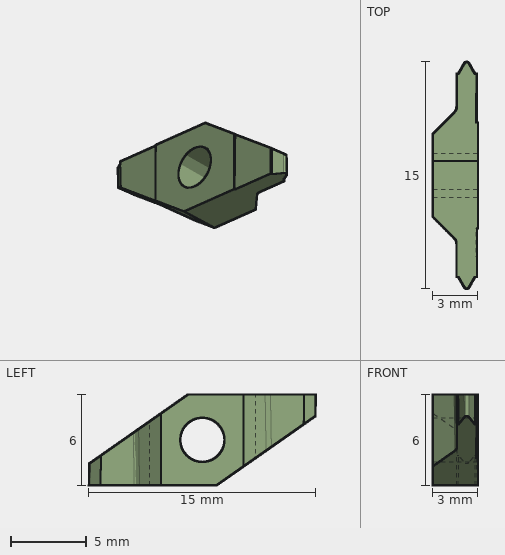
import cadquery as cq
import math

WIDTH = 3.0
LENGTH = 15.0
HEIGHT = 6.0

BACK_SLOPE = 35.0
SLOPE_START_Y = 0.95

CENTRE_HALF_LENGTH = 2.73
BLADE_CENTRE_X = 0.745
BLADE_HALF_WIDTH = 0.685
FAR_STEP_Y = 3.5
SHOULDER_ANGLE = 45.0
SHOULDER_FILLET = 0.5
TOOTH_BASE_Y = 6.725
TOOTH_FLANK_ANGLE = 30.0
TOOTH_TIP_RADIUS = 0.19

RELIEF_ANGLE = 1.0

HOLE_DIAMETER = 2.9


def end_section(z, inset):
    """Closed plan outline of the -Y end at height z, with the blade edges moved inwards by inset."""
    left_x = -WIDTH / 2
    right_x = WIDTH / 2
    blade_left = BLADE_CENTRE_X - BLADE_HALF_WIDTH + inset
    blade_right = BLADE_CENTRE_X + BLADE_HALF_WIDTH - inset
    base_y = -TOOTH_BASE_Y + inset
    tip_y = -LENGTH / 2 + inset

    flank = math.radians(TOOTH_FLANK_ANGLE)
    tip_radius = TOOTH_TIP_RADIUS - inset
    tangent_x = tip_radius * math.cos(flank)
    tangent_y = tip_y + tip_radius * (1 - math.sin(flank))
    tooth_half_base = tangent_x + (base_y - tangent_y) * math.tan(flank)

    shoulder = math.radians(SHOULDER_ANGLE)
    corner_y = -CENTRE_HALF_LENGTH - (blade_left - left_x) / math.tan(shoulder)
    fillet_setback = SHOULDER_FILLET * math.tan(shoulder / 2)
    fillet_x = blade_left - SHOULDER_FILLET
    fillet_y = corner_y - fillet_setback

    def fillet_point(angle):
        return (fillet_x + SHOULDER_FILLET * math.cos(angle), fillet_y + SHOULDER_FILLET * math.sin(angle))

    return (
        cq.Workplane("XY", origin=(0, 0, z))
        .moveTo(left_x, 0)
        .lineTo(left_x, -CENTRE_HALF_LENGTH)
        .lineTo(*fillet_point(shoulder))
        .threePointArc(fillet_point(shoulder / 2), fillet_point(0))
        .lineTo(blade_left, base_y)
        .lineTo(BLADE_CENTRE_X - tooth_half_base, base_y)
        .lineTo(BLADE_CENTRE_X - tangent_x, tangent_y)
        .threePointArc((BLADE_CENTRE_X, tip_y), (BLADE_CENTRE_X + tangent_x, tangent_y))
        .lineTo(BLADE_CENTRE_X + tooth_half_base, base_y)
        .lineTo(blade_right, base_y)
        .lineTo(blade_right, -FAR_STEP_Y)
        .lineTo(right_x, -FAR_STEP_Y)
        .lineTo(right_x, 0)
        .close()
        .val()
    )


def cutting_end():
    """The -Y half, widest at its top cutting face and narrowing downwards by the relief angle."""
    full_inset = HEIGHT * math.tan(math.radians(RELIEF_ANGLE))
    top = end_section(HEIGHT / 2, 0)
    bottom = end_section(-HEIGHT / 2, full_inset)
    return cq.Workplane(cq.Solid.makeLoft([bottom, top], True))


def side_profile():
    """Prism across the width that gives each end its sloping back."""
    half_length = LENGTH / 2
    half_height = HEIGHT / 2
    end_z = half_height - (half_length - SLOPE_START_Y) * math.tan(math.radians(BACK_SLOPE))
    return (
        cq.Workplane("YZ")
        .polyline([
            (-half_length, half_height),
            (SLOPE_START_Y, half_height),
            (half_length, end_z),
            (half_length, -half_height),
            (-SLOPE_START_Y, -half_height),
            (-half_length, -end_z),
        ])
        .close()
        .extrude(WIDTH / 2, both=True)
    )


def clamp_hole():
    """Round hole straight through the width at the centre."""
    return cq.Workplane("YZ").circle(HOLE_DIAMETER / 2).extrude(WIDTH, both=True)


first_end = cutting_end()
second_end = first_end.rotate((0, 0, 0), (1, 0, 0), 180)
plate = first_end.union(second_end).intersect(side_profile())
result = plate.cut(clamp_hole()).clean()